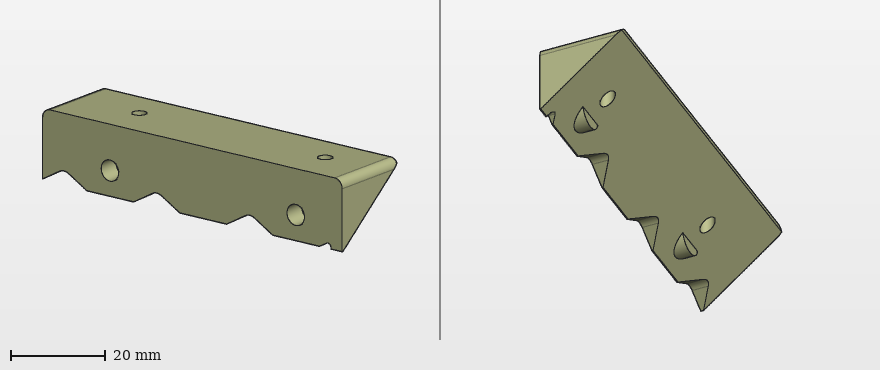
import cadquery as cq
import math

length = 80.7
depth = 19.0
height = 16.0
bottom_land = 0.25
rear_lip = 1.0
corner_radius = 2.0

pitch = 25.0
notch_width = pitch / 2
notch_count = 3
first_notch_x = 5.7
flank_angle = math.radians(30)
notch_crest_radius = 2.7
relief_crest_radius = 0.8
relief_end_x = 77.6

hole_x_positions = (18.15, 18.15 + 2 * pitch)
front_hole_z = 5.7
front_hole_diameter = 4.7
front_hole_depth = 5.0
boss_diameter = 7.8
boss_end_y = 6.0

top_hole_diameter = 3.2
top_hole_y = 10.0


def make_wedge():
    profile = [
        (0, 0),
        (bottom_land, 0),
        (depth, height - rear_lip),
        (depth, height),
        (0, height),
    ]
    wedge = cq.Workplane("YZ").polyline(profile).close().extrude(length)
    top_end_edges = wedge.faces(">Z").edges("<X or >X")
    return top_end_edges.fillet(corner_radius)


def front_cylinder(x, diameter, end_y):
    """Cylinder along +Y, starting at the front face."""
    center = cq.Vector(x, 0, front_hole_z)
    return cq.Workplane(cq.Solid.makeCylinder(diameter / 2, end_y, center, cq.Vector(0, 1, 0)))


def through_depth(outline):
    """Extrude a closed XZ outline through the whole depth of the bar."""
    return outline.close().extrude(-depth)


def make_notch(center_x):
    """Symmetric V notch with a rounded crest tangent to both flanks."""
    half_width = notch_width / 2
    radius = notch_crest_radius
    apex_z = half_width * math.tan(flank_angle)
    arc_center_z = apex_z - radius / math.cos(flank_angle)
    tangent_x = radius * math.sin(flank_angle)
    tangent_z = arc_center_z + radius * math.cos(flank_angle)
    outline = (
        cq.Workplane("XZ")
        .moveTo(center_x - half_width, 0)
        .lineTo(center_x - tangent_x, tangent_z)
        .threePointArc((center_x, arc_center_z + radius), (center_x + tangent_x, tangent_z))
        .lineTo(center_x + half_width, 0)
    )
    return through_depth(outline)


def make_relief(start_x):
    """Small end notch: sloping flank, tangent round crest and vertical wall."""
    radius = relief_crest_radius
    center_x = relief_end_x - radius
    center_z = (center_x - start_x) * math.tan(flank_angle) - radius / math.cos(flank_angle)
    tangent_x = center_x - radius * math.sin(flank_angle)
    tangent_z = center_z + radius * math.cos(flank_angle)
    outline = (
        cq.Workplane("XZ")
        .moveTo(start_x, 0)
        .lineTo(tangent_x, tangent_z)
        .threePointArc((center_x, center_z + radius), (relief_end_x, center_z))
        .lineTo(relief_end_x, 0)
    )
    return through_depth(outline)


result = make_wedge()

for notch_index in range(notch_count):
    result = result.cut(make_notch(first_notch_x + notch_index * pitch))

relief_start_x = first_notch_x + notch_count * pitch - notch_width / 2
result = result.cut(make_relief(relief_start_x))

for hole_x in hole_x_positions:
    result = result.union(front_cylinder(hole_x, boss_diameter, boss_end_y))
    result = result.cut(front_cylinder(hole_x, front_hole_diameter, front_hole_depth))
    top_hole = cq.Workplane("XY").center(hole_x, top_hole_y).circle(top_hole_diameter / 2).extrude(height)
    result = result.cut(top_hole)